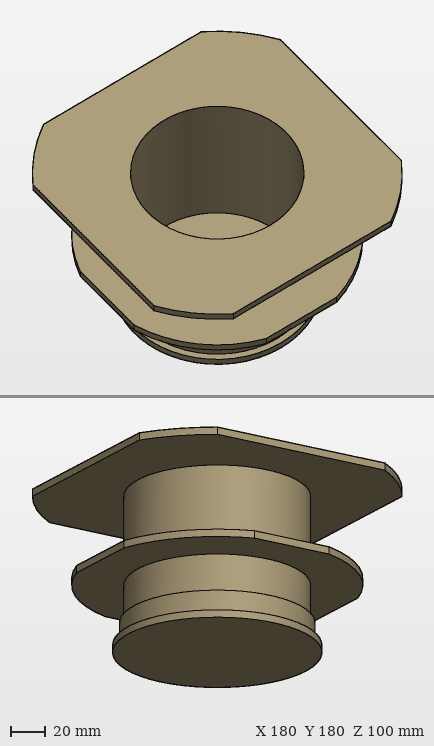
import cadquery as cq

total_height = 100.0
plate_thickness = 4.5

top_flange_width = 180.0
top_flange_diameter = 213.5
middle_flange_width = 160.2
middle_flange_diameter = 168.1
middle_flange_base = 41.0

bore_diameter = 100.0
tube_diameter = 108.0
cap_diameter = 113.0
cap_height = 18.0
rim_diameter = 121.0
floor_thickness = plate_thickness


def disc(diameter, height, base=0.0):
    """Solid cylinder on the Z axis standing on the given height."""
    return cq.Workplane("XY").workplane(offset=base).circle(diameter / 2).extrude(height)


def trimmed_flange(width, diameter, base):
    """Square plate whose corners are rounded off by a concentric circle."""
    square = cq.Workplane("XY").workplane(offset=base).rect(width, width).extrude(plate_thickness)
    return square.intersect(disc(diameter, plate_thickness, base))


tube = disc(tube_diameter, total_height)
cap = disc(cap_diameter, cap_height).union(disc(rim_diameter, plate_thickness))
top_flange = trimmed_flange(top_flange_width, top_flange_diameter, total_height - plate_thickness)
middle_flange = trimmed_flange(middle_flange_width, middle_flange_diameter, middle_flange_base)

bore = disc(bore_diameter, total_height - floor_thickness, floor_thickness)

result = tube.union(cap).union(top_flange).union(middle_flange).cut(bore)